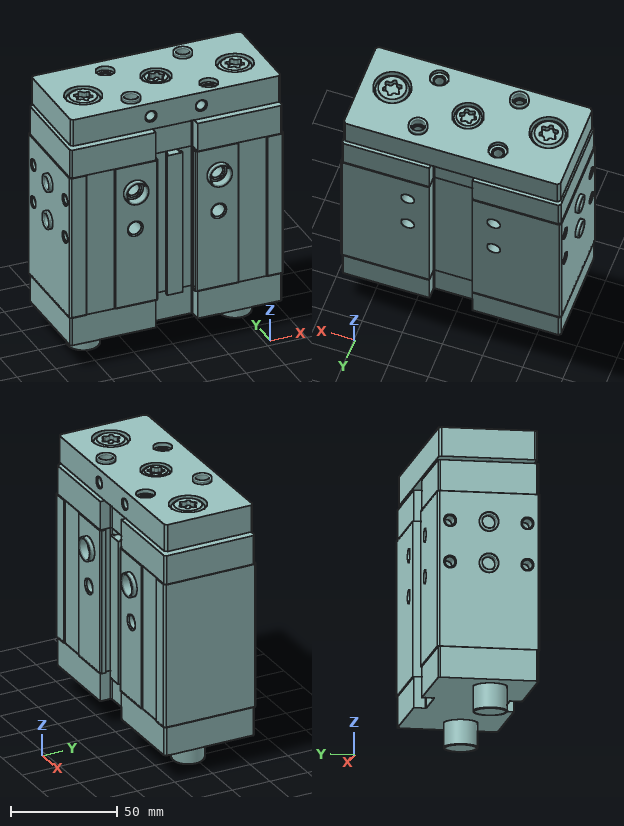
import cadquery as cq
import math


COVER_BOTTOM = 12.1
COVER_HEIGHT = 15.0
HOUSING_BOTTOM = COVER_BOTTOM + COVER_HEIGHT
HOUSING_HEIGHT = 75.0
HOUSING_TOP = HOUSING_BOTTOM + HOUSING_HEIGHT
STROKE_GAP = 1.9
YOKE_BOTTOM = HOUSING_TOP + COVER_HEIGHT + STROKE_GAP
YOKE_HEIGHT = 14.0
YOKE_TOP = YOKE_BOTTOM + YOKE_HEIGHT

OVERALL_WIDTH = 111.7
OVERALL_DEPTH = 51.4
OVERALL_HEIGHT = 134.8

HOUSING_WIDTH = 110.0
HOUSING_DEPTH = 48.9
COVER_WIDTH = 109.0
COVER_DEPTH = 48.0
BLOCK_CHAMFER = 1.0
YOKE_WIDTH = 108.0
YOKE_DEPTH = 46.9
YOKE_CHAMFER = 1.2
HOUSING_FRONT = -HOUSING_DEPTH / 2
HOUSING_LEFT = -HOUSING_WIDTH / 2
YOKE_FRONT = -YOKE_DEPTH / 2

GROOVE_DEPTH = 6.5
GROOVE_FLOOR = HOUSING_DEPTH / 2 - GROOVE_DEPTH
GROOVE_WIDTH = 21.5
GROOVE_FLOOR_CHAMFER = 0.5
LIP_GAP = 19.3
LIP_CHAMFER = 0.8
LIP_THICKNESS = 3.0
RIB_WIDTH = 8.0
RIB_HEIGHT = 4.2
RIB_NECK_WIDTH = 5.9
RIB_HEAD_THICKNESS = 1.8

PANEL_X = 39.1
PANEL_WIDTH = 15.2
PANEL_DEPTH = 0.5

GUIDE_X = 39.0
GUIDE_Y = -3.5
GUIDE_DIAMETER = 16.0
GUIDE_CHAMFER = 0.4
PISTON_ROD_DIAMETER = 12.0

COUNTERBORE_DEPTH = 5.4
GUIDE_COUNTERBORE = 18.0
GUIDE_HEAD_CHAMFER = 1.3
GUIDE_HEAD_DROP = 0.3
GUIDE_STAR = 9.0
PISTON_COUNTERBORE = 15.0
PISTON_HEAD_DIAMETER = 13.2
PISTON_HEAD_CHAMFER = 1.1
PISTON_HEAD_DROP = 0.4
PISTON_STAR = 8.2
STAR_DEPTH = 2.7
STAR_LOBES = 6
STAR_VALLEY_RATIO = 0.72
STAR_TURN_RATIO = 0.84

THREAD_DIAMETER = 4.9
THREAD_CHAMFER = 0.5
THREAD_DEPTH = 9.5
DRILL_TIP_ANGLE = 118

THROUGH_X = 21.5
THROUGH_DIAMETER = 6.6
THROUGH_CHAMFER = 0.7

HOLE_Z_LOW = HOUSING_BOTTOM + 40.8
HOLE_Z_HIGH = HOLE_Z_LOW + 20.0
LEFT_THREAD_Y = 18.5

YOKE_HOLE_X = 20.0
YOKE_HOLE_Y_FRONT = -16.0
YOKE_HOLE_Y_BACK = 14.0
YOKE_THREAD_X = 13.0

SLEEVE_DIAMETER = 9.0
SLEEVE_BORE = 6.6
LARGE_SLEEVE_DIAMETER = 12.0
LARGE_SLEEVE_BORE = 10.2
RECESS_DEPTH = 2.2
YOKE_SLEEVE_PROTRUSION = OVERALL_HEIGHT - YOKE_TOP
LEFT_SLEEVE_PROTRUSION = OVERALL_WIDTH - HOUSING_WIDTH
FRONT_SLEEVE_PROTRUSION = OVERALL_DEPTH - HOUSING_DEPTH

YOKE_SLEEVE_SPOTS = [(-YOKE_HOLE_X, YOKE_HOLE_Y_FRONT), (YOKE_HOLE_X, YOKE_HOLE_Y_BACK)]
YOKE_HOLE_SPOTS = [(x, y) for x in (-YOKE_HOLE_X, YOKE_HOLE_X) for y in (YOKE_HOLE_Y_FRONT, YOKE_HOLE_Y_BACK)]

DOWN = cq.Vector(0, 0, -1)
BACKWARD = cq.Vector(0, 1, 0)
RIGHTWARD = cq.Vector(1, 0, 0)


def cylinder(diameter, length, start, direction):
    return cq.Solid.makeCylinder(diameter / 2, length, cq.Vector(*start), direction)


def block(width, depth, height, bottom, chamfer):
    body = cq.Workplane("XY").workplane(offset=bottom).rect(width, depth).extrude(height)
    return body.edges("|Z").chamfer(chamfer)


def countersink(diameter, chamfer, start, direction):
    """Cone that widens a hole mouth by the chamfer all round."""
    return cq.Solid.makeCone(diameter / 2 + chamfer, diameter / 2, chamfer, cq.Vector(*start), direction)


def threaded_hole(start, direction):
    """Blind drilled hole with a countersunk mouth and a conical end."""
    radius = THREAD_DIAMETER / 2
    tip_length = radius / math.tan(math.radians(DRILL_TIP_ANGLE / 2))
    tip_start = cq.Vector(*start) + direction * THREAD_DEPTH
    hole = cylinder(THREAD_DIAMETER, THREAD_DEPTH, start, direction)
    tip = cq.Solid.makeCone(radius, 0, tip_length, tip_start, direction)
    return hole.fuse(tip, countersink(THREAD_DIAMETER, THREAD_CHAMFER, start, direction))


def sleeve(diameter, bore, protrusion, mouth, direction):
    """Ring that fills a recess and stands out of its mouth with a fully rounded end."""
    inner = bore / 2
    outer = diameter / 2
    middle = (inner + outer) / 2
    round_start = protrusion - (outer - inner) / 2
    ring = (
        cq.Workplane("XZ")
        .moveTo(inner, -RECESS_DEPTH)
        .lineTo(outer, -RECESS_DEPTH)
        .lineTo(outer, round_start)
        .threePointArc((middle, protrusion), (inner, round_start))
        .close()
        .revolve(360, (0, 0), (0, 1))
    )
    return ring.val().moved(cq.Location(cq.Plane(origin=mouth, normal=direction * -1)))


def central_groove(side):
    """Full-height cutter, chamfered along its floor, for the front (side = -1) or back (side = 1) groove."""
    middle = side * (GROOVE_FLOOR + GROOVE_DEPTH / 2)
    groove = cq.Workplane("XY").center(0, middle).rect(GROOVE_WIDTH, GROOVE_DEPTH).extrude(YOKE_BOTTOM)
    floor = "<Y" if side > 0 else ">Y"
    return groove.faces(floor).edges("|Z").chamfer(GROOVE_FLOOR_CHAMFER)


def guide_rods(bottom, length):
    spots = [(-GUIDE_X, GUIDE_Y), (GUIDE_X, GUIDE_Y)]
    return cq.Workplane("XY").workplane(offset=bottom).pushPoints(spots).circle(GUIDE_DIAMETER / 2).extrude(length)


def front_trapezoid(x, mouth_width, floor_width, depth):
    """Cutter sunk into the housing front with sides sloping in to its floor."""
    outline = [
        (x - mouth_width / 2, HOUSING_FRONT),
        (x + mouth_width / 2, HOUSING_FRONT),
        (x + floor_width / 2, HOUSING_FRONT + depth),
        (x - floor_width / 2, HOUSING_FRONT + depth),
    ]
    return cq.Workplane("XY").workplane(offset=HOUSING_BOTTOM).polyline(outline).close().extrude(HOUSING_HEIGHT)


def housing_bar(width, front, thickness):
    """Bar of the housing height, centred on X = 0, reaching back from the given front level."""
    middle = front + thickness / 2
    base = cq.Workplane("XY").workplane(offset=HOUSING_BOTTOM).center(0, middle)
    return base.rect(width, thickness).extrude(HOUSING_HEIGHT)


def groove_lips():
    """Pair of lips at the groove mouth, with a chamfered gap between them."""
    lips = housing_bar(GROOVE_WIDTH, HOUSING_FRONT, LIP_THICKNESS)
    lips = lips.cut(housing_bar(LIP_GAP, HOUSING_FRONT, LIP_THICKNESS))
    return lips.cut(front_trapezoid(0, LIP_GAP + 2 * LIP_CHAMFER, LIP_GAP, LIP_CHAMFER))


def groove_rib():
    front = -GROOVE_FLOOR - RIB_HEIGHT
    head = housing_bar(RIB_WIDTH, front, RIB_HEAD_THICKNESS)
    return head.union(housing_bar(RIB_NECK_WIDTH, front, RIB_HEIGHT))


def make_housing():
    body = block(HOUSING_WIDTH, HOUSING_DEPTH, HOUSING_HEIGHT, HOUSING_BOTTOM, BLOCK_CHAMFER)
    for side in (-1, 1):
        body = body.cut(central_groove(side))
        body = body.cut(front_trapezoid(side * PANEL_X, PANEL_WIDTH, PANEL_WIDTH - 2 * PANEL_DEPTH, PANEL_DEPTH))
    body = body.union(groove_lips()).union(groove_rib())
    body = body.cut(guide_rods(HOUSING_BOTTOM, HOUSING_HEIGHT))

    for z in (HOLE_Z_LOW, HOLE_Z_HIGH):
        for x in (-THROUGH_X, THROUGH_X):
            mouth = (x, HOUSING_FRONT, z)
            body = body.cut(cq.Workplane(cylinder(THROUGH_DIAMETER, HOUSING_DEPTH, mouth, BACKWARD)))
            body = body.cut(cq.Workplane(countersink(THROUGH_DIAMETER, THROUGH_CHAMFER, mouth, BACKWARD)))
        for y in (-LEFT_THREAD_Y, LEFT_THREAD_Y):
            body = body.cut(cq.Workplane(threaded_hole((HOUSING_LEFT, y, z), RIGHTWARD)))
        port = cylinder(SLEEVE_DIAMETER, RECESS_DEPTH, (HOUSING_LEFT, 0, z), RIGHTWARD)
        body = body.cut(cq.Workplane(port))

    for x in (-THROUGH_X, THROUGH_X):
        recess = cylinder(LARGE_SLEEVE_DIAMETER, RECESS_DEPTH, (x, HOUSING_FRONT, HOLE_Z_HIGH), BACKWARD)
        body = body.cut(cq.Workplane(recess))
        recess_floor = (x, HOUSING_FRONT + RECESS_DEPTH, HOLE_Z_HIGH)
        body = body.cut(cq.Workplane(countersink(THROUGH_DIAMETER, THROUGH_CHAMFER, recess_floor, BACKWARD)))
    return body.val()


def make_cover(bottom):
    body = block(COVER_WIDTH, COVER_DEPTH, COVER_HEIGHT, bottom, BLOCK_CHAMFER)
    for side in (-1, 1):
        body = body.cut(central_groove(side))
    return body.cut(guide_rods(bottom, COVER_HEIGHT))


def make_upper_cover():
    piston_hole = cylinder(PISTON_ROD_DIAMETER, COVER_HEIGHT, (0, 0, HOUSING_TOP), -DOWN)
    return make_cover(HOUSING_TOP).cut(cq.Workplane(piston_hole)).val()


def star_socket(diameter, first_lobe_angle, top):
    """Six-lobed screwdriver socket, outlined by alternating lobe and valley arcs."""
    radius = diameter / 2
    half_pitch = 180 / STAR_LOBES

    def point(ratio, steps):
        angle = math.radians(first_lobe_angle + steps * half_pitch)
        return (ratio * radius * math.cos(angle), ratio * radius * math.sin(angle))

    outline = cq.Workplane("XY").workplane(offset=top - STAR_DEPTH).moveTo(*point(STAR_TURN_RATIO, -0.5))
    for lobe in range(STAR_LOBES):
        step = 2 * lobe
        outline = outline.threePointArc(point(1, step), point(STAR_TURN_RATIO, step + 0.5))
        outline = outline.threePointArc(point(STAR_VALLEY_RATIO, step + 1), point(STAR_TURN_RATIO, step + 1.5))
    return outline.close().extrude(STAR_DEPTH)


def screw_head(diameter, chamfer, drop, star, first_lobe_angle):
    """Round head standing on the counterbore floor of the yoke, centred on the origin in X and Y."""
    bottom = YOKE_TOP - COUNTERBORE_DEPTH
    head = cq.Workplane("XY").workplane(offset=bottom).circle(diameter / 2).extrude(COUNTERBORE_DEPTH - drop)
    head = head.faces(">Z").chamfer(chamfer)
    return head.cut(star_socket(star, first_lobe_angle, YOKE_TOP - drop))


def make_moving_unit():
    body = block(YOKE_WIDTH, YOKE_DEPTH, YOKE_HEIGHT, YOKE_BOTTOM, YOKE_CHAMFER)
    body = body.union(guide_rods(0, YOKE_BOTTOM).faces("<Z").chamfer(GUIDE_CHAMFER))
    piston_rod = cylinder(PISTON_ROD_DIAMETER, YOKE_BOTTOM - HOUSING_TOP, (0, 0, HOUSING_TOP), -DOWN)
    body = body.union(cq.Workplane(piston_rod))

    guide_head = screw_head(GUIDE_DIAMETER, GUIDE_HEAD_CHAMFER, GUIDE_HEAD_DROP, GUIDE_STAR, 90)
    for x in (-GUIDE_X, GUIDE_X):
        counterbore = cylinder(GUIDE_COUNTERBORE, COUNTERBORE_DEPTH, (x, GUIDE_Y, YOKE_TOP), DOWN)
        body = body.cut(cq.Workplane(counterbore)).union(guide_head.translate((x, GUIDE_Y, 0)))
    counterbore = cylinder(PISTON_COUNTERBORE, COUNTERBORE_DEPTH, (0, 0, YOKE_TOP), DOWN)
    piston_head = screw_head(PISTON_HEAD_DIAMETER, PISTON_HEAD_CHAMFER, PISTON_HEAD_DROP, PISTON_STAR, 0)
    body = body.cut(cq.Workplane(counterbore)).union(piston_head)

    for x, y in YOKE_HOLE_SPOTS:
        body = body.cut(cq.Workplane(cylinder(SLEEVE_DIAMETER, RECESS_DEPTH, (x, y, YOKE_TOP), DOWN)))
        body = body.cut(cq.Workplane(cylinder(THREAD_DIAMETER, YOKE_HEIGHT, (x, y, YOKE_TOP), DOWN)))
        recess_floor = (x, y, YOKE_TOP - RECESS_DEPTH)
        body = body.cut(cq.Workplane(countersink(THREAD_DIAMETER, THREAD_CHAMFER, recess_floor, DOWN)))
    for x in (-YOKE_THREAD_X, YOKE_THREAD_X):
        mouth = (x, YOKE_FRONT, YOKE_BOTTOM + YOKE_HEIGHT / 2)
        body = body.cut(cq.Workplane(threaded_hole(mouth, BACKWARD)))
    return body.val()


def make_yoke_sleeves():
    return [
        sleeve(SLEEVE_DIAMETER, SLEEVE_BORE, YOKE_SLEEVE_PROTRUSION, (x, y, YOKE_TOP), DOWN)
        for x, y in YOKE_SLEEVE_SPOTS
    ]


def make_left_sleeves():
    return [
        sleeve(SLEEVE_DIAMETER, SLEEVE_BORE, LEFT_SLEEVE_PROTRUSION, (HOUSING_LEFT, 0, z), RIGHTWARD)
        for z in (HOLE_Z_LOW, HOLE_Z_HIGH)
    ]


def make_front_sleeves():
    sleeves = []
    for x in (-THROUGH_X, THROUGH_X):
        mouth = (x, HOUSING_FRONT, HOLE_Z_HIGH)
        sleeves.append(
            sleeve(LARGE_SLEEVE_DIAMETER, LARGE_SLEEVE_BORE, FRONT_SLEEVE_PROTRUSION, mouth, BACKWARD)
        )
    return sleeves


housing = make_housing()
lower_cover = make_cover(COVER_BOTTOM).val()
upper_cover = make_upper_cover()
moving_unit = make_moving_unit()
result = cq.Compound.makeCompound(
    [
        housing,
        lower_cover,
        upper_cover,
        moving_unit,
        *make_yoke_sleeves(),
        *make_left_sleeves(),
        *make_front_sleeves(),
    ]
)